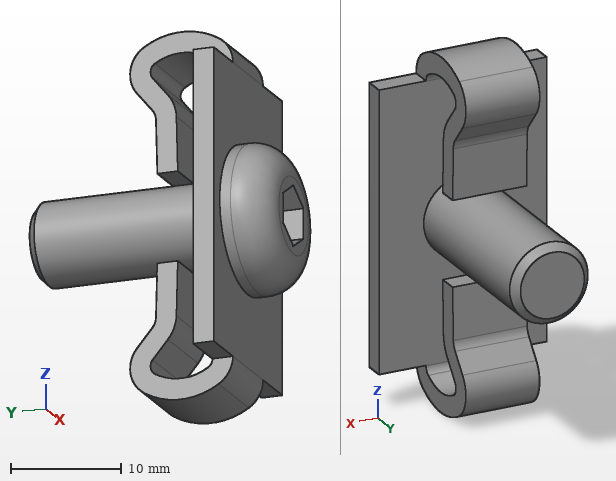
import cadquery as cq
import math

total_height = 35.0
plate_width = 17.0
plate_height = 28.0
thickness = 2.0
clip_width = 7.5

loop_depth = 10.0
loop_rise = (total_height - plate_height) / 2
corner_radius = 2.9
neck_angle = 40.0
neck_length = 2.3
bend_radius = 1.5
tail_tilt = 1.5
tail_end_height = 4.27

shank_diameter = 7.95
shank_length = 19.98
tip_chamfer = 0.75
head_diameter = 14.0
head_height = 4.4
rim_height = 1.0
face_diameter = 7.28
socket_flats = 5.0
socket_depth = 2.5


def arc_point(center, radius, angle):
    """Point at an angle in degrees, measured from -Y towards +Z."""
    a = math.radians(angle)
    return (center[0] - radius * math.cos(a), center[1] + radius * math.sin(a))


def make_plate():
    return cq.Workplane("XY").box(
        plate_width, thickness, plate_height, centered=(True, False, True)
    )


def make_clip():
    """Upper spring clip: a strip of constant thickness swept along tangent arcs and lines."""
    base = plate_height / 2

    corner_reach = loop_depth / 2 - corner_radius
    crown_lift = loop_rise - corner_radius
    center_gap = (corner_reach**2 + crown_lift**2) / (2 * crown_lift)
    crown_radius = center_gap + corner_radius
    front_center = (corner_radius, base)
    rear_center = (loop_depth - corner_radius, base)
    crown_center = (loop_depth / 2, base + loop_rise - crown_radius)
    crown_half_angle = math.degrees(math.asin(corner_reach / center_gap))
    crown_start = 90 - crown_half_angle
    crown_end = 90 + crown_half_angle
    neck_start = 180 + neck_angle

    slope = math.radians(neck_angle)
    center_distance = corner_radius + bend_radius
    bend_start = arc_point(rear_center, center_distance, neck_start)
    bend_center = (
        bend_start[0] - neck_length * math.sin(slope),
        bend_start[1] - neck_length * math.cos(slope),
    )

    def side(inset):
        """Start, list of (middle, end) arcs or (None, end) lines, for one face of the strip."""
        corner = corner_radius - inset
        crown = crown_radius - inset
        bend = bend_radius + inset
        tail_start = arc_point(bend_center, bend, tail_tilt)
        tail_drop = tail_start[1] - tail_end_height
        tail_end = (tail_start[0] - tail_drop * math.tan(math.radians(tail_tilt)), tail_end_height)
        start = arc_point(front_center, corner, 0)
        steps = [
            (
                arc_point(front_center, corner, crown_start / 2),
                arc_point(front_center, corner, crown_start),
            ),
            (arc_point(crown_center, crown, 90), arc_point(crown_center, crown, crown_end)),
            (arc_point(rear_center, corner, 180), arc_point(rear_center, corner, neck_start)),
            (None, arc_point(bend_center, bend, neck_angle)),
            (arc_point(bend_center, bend, (neck_angle + tail_tilt) / 2), tail_start),
            (None, tail_end),
        ]
        return start, steps

    def draw(outline, middle, end):
        if middle is None:
            return outline.lineTo(*end)
        return outline.threePointArc(middle, end)

    outer_start, outer_steps = side(0)
    inner_start, inner_steps = side(thickness)
    outline = cq.Workplane("YZ").moveTo(*outer_start)
    for middle, end in outer_steps:
        outline = draw(outline, middle, end)

    inner_ends = [inner_start] + [end for _, end in inner_steps]
    outline = outline.lineTo(*inner_ends[-1])
    for index in reversed(range(len(inner_steps))):
        outline = draw(outline, inner_steps[index][0], inner_ends[index])
    return outline.close().extrude(clip_width / 2, both=True)


def make_screw():
    shank_radius = shank_diameter / 2
    head_radius = head_diameter / 2
    face_radius = face_diameter / 2
    dome_width = head_radius - face_radius
    dome_height = head_height - rim_height
    dome_middle = (
        face_radius + dome_width * math.sqrt(0.5),
        -rim_height - dome_height * math.sqrt(0.5),
    )
    profile = (
        cq.Workplane("XY")
        .moveTo(0, -head_height)
        .lineTo(face_radius, -head_height)
        .threePointArc(dome_middle, (head_radius, -rim_height))
        .lineTo(head_radius, 0)
        .lineTo(shank_radius, 0)
        .lineTo(shank_radius, shank_length - tip_chamfer)
        .lineTo(shank_radius - tip_chamfer, shank_length)
        .lineTo(0, shank_length)
        .close()
    )
    screw = profile.revolve(360, (0, 0, 0), (0, 1, 0))

    socket_corners = socket_flats / math.cos(math.radians(30))
    socket = (
        cq.Workplane("XZ", origin=(0, -head_height, 0))
        .transformed(rotate=(0, 0, 90))
        .polygon(6, socket_corners)
        .extrude(-socket_depth)
    )
    return screw.cut(socket)


upper_clip = make_clip()
lower_clip = upper_clip.mirror("XY")
result = make_plate().union(upper_clip).union(lower_clip).union(make_screw())